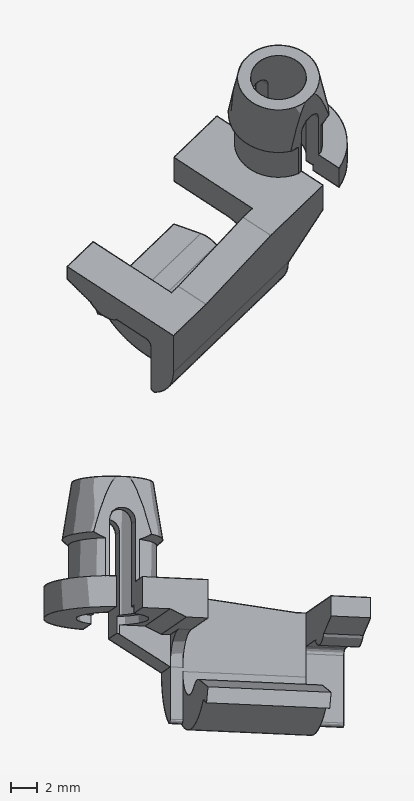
import cadquery as cq
import math


WIDTH = 10.22
HALF_WIDTH = WIDTH / 2
LENGTH = 23.6
FOOT_RADIUS = HALF_WIDTH
FRONT_Y = FOOT_RADIUS - LENGTH

POST_TOP = 7.88
POST_DIAMETER = 6.55
POST_TOP_DIAMETER = 6.1
BARB_DIAMETER = 7.48
BARB_Z = 3.6
BARB_UNDERSIDE_Z = 3.19
FLATS_WIDTH = 6.02
BORE_DIAMETER = 4.13
COUNTERBORE_DIAMETER = 5.38
COUNTERBORE_TOP_Z = -1.7
SLOT_WIDTH = 1.98
SLOT_TOP = 5.55

PLATE_THICKNESS = 2.34
DECK_THICKNESS = 2.9
DECK_REAR_Y = -SLOT_WIDTH / 2
THICKENING_START_Y = -3.12
THICKENING_END_Y = -4.37
SLOPE_START_Y = -7.1
SLOPE_END_Y = -14.68
SLOPE_DROP = 0.8

CLIP_REAR_Y = -6.02
CLIP_FRONT_Y = -15.45
CLIP_INNER_X = 2.43
SEAT_RADIUS = 2.1
SEAT_CENTER_Z = -5.65
CLIP_CENTER_Z = -5.29
CLIP_BOTTOM_Z = CLIP_CENTER_Z - HALF_WIDTH
LIP_ROOT_X = -1.0
LIP_CREST = (-1.95, -7.0)
LIP_LINE_START = (-2.53, -7.13)
LIP_TIP = (-HALF_WIDTH, -8.1)
LIP_TIP_LOWER = (-4.67, -9.23)
LIP_OUTER_X = -3.68

WALL_REAR_Y = -5.05
GUSSET_TOP_Z = -2.95
GUSSET_BOTTOM_Z = -5.33
FRONT_WALL_X = 2.93
WALL_TOE_RADIUS = 0.28

ARM_EDGE_Z = -2.34
ARM_UNDERSIDE_Z = -3.33
ARM_BUMP_START = (-2.88, -3.28)
ARM_BUMP_LOW = (-1.63, -3.92)
ARM_BUMP_END_X = -0.35
ARM_FILLET = 0.47


def outer_z(x):
    """Height of the rounded lower outside surface at x."""
    return CLIP_CENTER_Z - math.sqrt(HALF_WIDTH**2 - x**2)


def slab(outline, y_front, y_rear):
    """Extrude an XZ outline between two Y positions."""
    return outline.close().extrude(y_rear - y_front).translate((0, y_rear, 0))


def box(x_min, x_max, y_min, y_max, z_min, z_max):
    return cq.Workplane("XY").box(
        x_max - x_min, y_max - y_min, z_max - z_min, centered=False
    ).translate((x_min, y_min, z_min))


def make_post():
    post = (
        cq.Workplane("XZ")
        .moveTo(0, -PLATE_THICKNESS)
        .lineTo(POST_DIAMETER / 2, -PLATE_THICKNESS)
        .lineTo(POST_DIAMETER / 2, BARB_UNDERSIDE_Z)
        .lineTo(BARB_DIAMETER / 2, BARB_Z)
        .lineTo(POST_TOP_DIAMETER / 2, POST_TOP)
        .lineTo(0, POST_TOP)
        .close()
        .revolve(360, (0, 0, 0), (0, 1, 0))
    )
    flats = box(-FLATS_WIDTH / 2, FLATS_WIDTH / 2, -HALF_WIDTH, HALF_WIDTH, -PLATE_THICKNESS, POST_TOP)
    return post.intersect(flats)


def make_foot():
    disc = cq.Workplane("XY").circle(FOOT_RADIUS).extrude(-PLATE_THICKNESS)
    rear_half = box(-HALF_WIDTH, HALF_WIDTH, 0, FOOT_RADIUS, -PLATE_THICKNESS, 0)
    return disc.intersect(rear_half)


def make_deck():
    return (
        cq.Workplane("YZ")
        .moveTo(0, 0)
        .lineTo(CLIP_REAR_Y, 0)
        .lineTo(CLIP_REAR_Y, -DECK_THICKNESS)
        .lineTo(THICKENING_END_Y, -DECK_THICKNESS)
        .lineTo(THICKENING_START_Y, -PLATE_THICKNESS)
        .lineTo(0, -PLATE_THICKNESS)
        .close()
        .extrude(HALF_WIDTH, both=True)
    )


def make_gusset():
    """Side wall that tapers up toward the post."""
    return (
        cq.Workplane("YZ", origin=(CLIP_INNER_X, 0, 0))
        .moveTo(DECK_REAR_Y, 0)
        .lineTo(WALL_REAR_Y, 0)
        .lineTo(WALL_REAR_Y, GUSSET_BOTTOM_Z)
        .lineTo(DECK_REAR_Y, GUSSET_TOP_Z)
        .close()
        .extrude(HALF_WIDTH - CLIP_INNER_X)
    )


def make_wall(inner_x, y_front, y_rear):
    """Hanging side wall with a rounded outside and a rounded toe."""
    diagonal = HALF_WIDTH * math.sqrt(0.5)
    outline = (
        cq.Workplane("XZ")
        .moveTo(inner_x, 0)
        .lineTo(HALF_WIDTH, 0)
        .lineTo(HALF_WIDTH, CLIP_CENTER_Z)
        .threePointArc((diagonal, CLIP_CENTER_Z - diagonal), (inner_x, outer_z(inner_x)))
    )
    wall = slab(outline, y_front, y_rear)
    return wall.edges("|Y").edges("<Z").fillet(WALL_TOE_RADIUS)


def make_rear_corner():
    """Concave corner joining the deck underside to the rear wall."""
    radius = CLIP_INNER_X
    fillet_center_z = -DECK_THICKNESS - radius
    diagonal = radius * math.sqrt(0.5)
    outline = (
        cq.Workplane("XZ")
        .moveTo(0, -DECK_THICKNESS)
        .threePointArc((diagonal, fillet_center_z + diagonal), (CLIP_INNER_X, fillet_center_z))
        .lineTo(CLIP_INNER_X, -DECK_THICKNESS)
    )
    return slab(outline, CLIP_REAR_Y, WALL_REAR_Y)


def make_clip():
    """Side wall running into the spring hook with its flared lip."""
    seat_center_x = CLIP_INNER_X - SEAT_RADIUS
    root_z = SEAT_CENTER_Z - math.sqrt(SEAT_RADIUS**2 - (LIP_ROOT_X - seat_center_x)**2)
    diagonal = SEAT_RADIUS * math.sqrt(0.5)
    outline = (
        cq.Workplane("XZ")
        .moveTo(CLIP_INNER_X, 0)
        .lineTo(CLIP_INNER_X, SEAT_CENTER_Z)
        .threePointArc((seat_center_x + diagonal, SEAT_CENTER_Z - diagonal), (LIP_ROOT_X, root_z))
        .threePointArc(LIP_CREST, LIP_LINE_START)
        .lineTo(*LIP_TIP)
        .lineTo(*LIP_TIP_LOWER)
        .lineTo(LIP_OUTER_X, outer_z(LIP_OUTER_X))
        .threePointArc((0, CLIP_BOTTOM_Z), (HALF_WIDTH, CLIP_CENTER_Z))
        .lineTo(HALF_WIDTH, 0)
    )
    return slab(outline, CLIP_FRONT_Y, CLIP_REAR_Y)


def make_front_arm():
    outline = (
        cq.Workplane("XZ")
        .moveTo(-HALF_WIDTH, 0)
        .lineTo(-HALF_WIDTH, ARM_EDGE_Z)
        .lineTo(*ARM_BUMP_START)
        .threePointArc(ARM_BUMP_LOW, (ARM_BUMP_END_X, ARM_UNDERSIDE_Z))
        .lineTo(FRONT_WALL_X - ARM_FILLET, ARM_UNDERSIDE_Z)
        .radiusArc((FRONT_WALL_X, ARM_UNDERSIDE_Z - ARM_FILLET), ARM_FILLET)
        .lineTo(HALF_WIDTH, ARM_UNDERSIDE_Z - ARM_FILLET)
        .lineTo(HALF_WIDTH, 0)
    )
    return slab(outline, FRONT_Y, CLIP_FRONT_Y)


def make_slot():
    """Round-topped slot along X that splits the post and frees the foot."""
    radius = SLOT_WIDTH / 2
    return (
        cq.Workplane("YZ")
        .moveTo(-radius, CLIP_BOTTOM_Z)
        .lineTo(-radius, SLOT_TOP - radius)
        .threePointArc((0, SLOT_TOP), (radius, SLOT_TOP - radius))
        .lineTo(radius, CLIP_BOTTOM_Z)
        .close()
        .extrude(WIDTH, both=True)
    )


def make_top_relief():
    """Material removed above the sloping top and the lower front arm."""
    return (
        cq.Workplane("YZ")
        .moveTo(SLOPE_START_Y, 0)
        .lineTo(SLOPE_END_Y, -SLOPE_DROP)
        .lineTo(FRONT_Y, -SLOPE_DROP)
        .lineTo(FRONT_Y, 0)
        .close()
        .extrude(WIDTH, both=True)
    )


def make_bore():
    """Through hole along the post axis, widened from below."""
    base = cq.Workplane("XY").workplane(offset=CLIP_BOTTOM_Z)
    through_hole = base.circle(BORE_DIAMETER / 2).extrude(POST_TOP - CLIP_BOTTOM_Z)
    counterbore = base.circle(COUNTERBORE_DIAMETER / 2).extrude(COUNTERBORE_TOP_Z - CLIP_BOTTOM_Z)
    return through_hole.union(counterbore)


result = (
    make_deck()
    .union(make_foot())
    .union(make_post())
    .union(make_gusset())
    .union(make_wall(CLIP_INNER_X, CLIP_REAR_Y, WALL_REAR_Y))
    .union(make_rear_corner())
    .union(make_clip())
    .union(make_front_arm())
    .union(make_wall(FRONT_WALL_X, FRONT_Y, CLIP_FRONT_Y))
    .cut(make_bore())
    .cut(make_slot())
    .cut(make_top_relief())
)